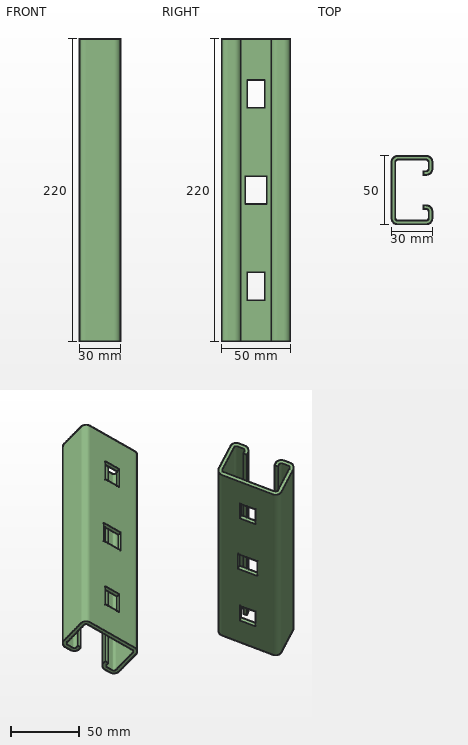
import cadquery as cq

length = 220.0
depth = 30.0
width = 50.0

sheet = 2.9
inner_radius = 1.8
outer_radius = inner_radius + sheet

slot_width = 22.0
lip_reach = 6.5

window_height = 20.0
window_pitch = 70.0
end_window_width = 12.5
middle_window_width = 15.5


def box_between(x_min, x_max, y_size, z_size):
    """Box from x_min to x_max, centred on the Y and Z axes."""
    return cq.Workplane("XY").box(x_max - x_min, y_size, z_size).translate(((x_min + x_max) / 2, 0, 0))


def rounded_tube():
    """Closed rectangular tube with concentric bends."""
    outer = box_between(0, depth, width, length).edges("|Z").fillet(outer_radius)
    inner = box_between(sheet, depth - sheet, width - 2 * sheet, length)
    return outer.cut(inner.edges("|Z").fillet(inner_radius))


def lip():
    """Bent lip on the +Y side of the slot, reaching back into the channel."""
    slot_edge = slot_width / 2
    lip_top = slot_edge + outer_radius
    profile = (
        cq.Workplane("XY", origin=(0, 0, -length / 2))
        .moveTo(depth - lip_reach, slot_edge)
        .lineTo(depth - outer_radius, slot_edge)
        .radiusArc((depth, lip_top), -outer_radius)
        .lineTo(depth - sheet, lip_top)
        .radiusArc((depth - outer_radius, slot_edge + sheet), inner_radius)
        .lineTo(depth - lip_reach, slot_edge + sheet)
        .close()
    )
    return profile.extrude(length)


def window(window_width, z_centre):
    """Rectangular cutter through the back web."""
    return box_between(-sheet, 2 * sheet, window_width, window_height).translate((0, 0, z_centre))


opening = box_between(depth - 2 * sheet, depth + sheet, slot_width + 2 * outer_radius, length)
channel = rounded_tube().cut(opening)
channel = channel.union(lip()).union(lip().mirror("XZ"))

channel = channel.cut(window(middle_window_width, 0))
for side in (-1, 1):
    channel = channel.cut(window(end_window_width, side * window_pitch))

result = channel.translate((-depth / 2, 0, 0))